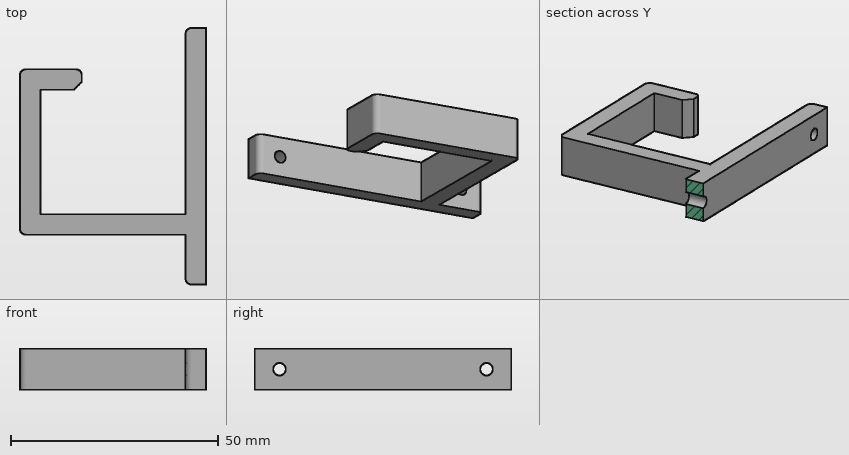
import cadquery as cq

plate_length = 62.0
overall_depth = 45.0
height = 10.0

wall = 5.0
arm_y = 12.0
hook_width = 40.0
lip_length = 15.0

corner_radius = 1.5
tip_chamfer = 2.0
hole_diameter = 3.0
hole_inset = 6.0

plate_x = overall_depth - wall
hook_top = arm_y + hook_width


def bar(x, y, length_x, length_y):
    """Full-height block with its minimum corner at (x, y, 0)."""
    return cq.Workplane("XY").box(length_x, length_y, height, centered=False).translate((x, y, 0))


def upright_edge(x, y):
    """Selector for the vertical edge passing through (x, y)."""
    return cq.selectors.NearestToPointSelector((x, y, height / 2))


plate = bar(plate_x, 0, wall, plate_length)
plate = plate.edges("|Z and <X").fillet(corner_radius)

arm = bar(0, arm_y, overall_depth, wall)
outer_wall = bar(0, arm_y, wall, hook_width)
lip = bar(0, hook_top - wall, lip_length, wall)
hook = arm.union(outer_wall).union(lip)

for corner_y in (arm_y, hook_top):
    hook = hook.edges(upright_edge(0, corner_y)).fillet(corner_radius)

hook = hook.edges(upright_edge(lip_length, hook_top)).fillet(corner_radius)
hook = hook.edges(upright_edge(lip_length, hook_top - wall)).chamfer(tip_chamfer)

result = plate.union(hook)

for hole_y in (hole_inset, plate_length - hole_inset):
    drill = (
        cq.Workplane("YZ", origin=(plate_x, hole_y, height / 2))
        .circle(hole_diameter / 2)
        .extrude(wall)
    )
    result = result.cut(drill)